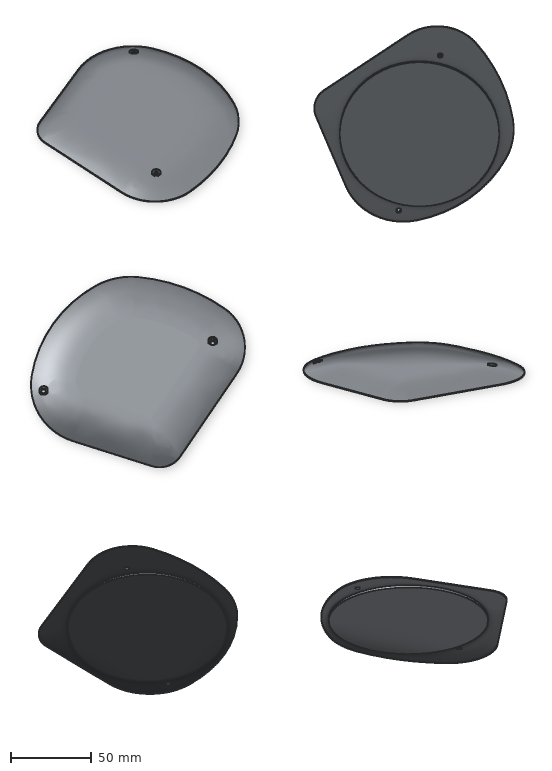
import cadquery as cq
import math


total_height = 8.3
disc_height = 1.7
rim_height = 0.6
dome_base = disc_height + rim_height
dome_height = total_height - dome_base

left_normal = 185.0
left_distance = 55.9
bottom_normal = 260.0
bottom_distance = 58.6
top_center = cq.Vector(-8.4, -26.8)
top_radius = 82.3
right_center = cq.Vector(-49.0, -15.9)
right_radius = 110.4

plateau_inset = 28.0
section_count = 6
top_left_radius = 38.3
top_right_radius = 43.7
bottom_right_rim_radius = 30.9
bottom_right_plateau_radius = 4.3
bottom_left_rim_radius = 15.3
bottom_left_plateau_radius = 0.1

disc_radius = 49.5
hole_x = 35.0
hole_y = 42.1
hole_diameter = 3.0
counterbore_diameter = 5.5
counterbore_floor = 4.0


def direction(angle):
    return cq.Vector(math.cos(math.radians(angle)), math.sin(math.radians(angle)))


def meet_lines(normal_a, distance_a, normal_b, distance_b):
    """Point where two lines, given by unit normal and distance, cross."""
    cross = normal_a.x * normal_b.y - normal_a.y * normal_b.x
    x = (distance_a * normal_b.y - distance_b * normal_a.y) / cross
    y = (distance_b * normal_a.x - distance_a * normal_b.x) / cross
    return cq.Vector(x, y)


def meet_line_circle(normal, distance, center, radius):
    """Crossing of a line and a circle, counterclockwise of the foot of the normal."""
    gap = distance - normal.dot(center)
    along = cq.Vector(-normal.y, normal.x)
    return center + normal * gap + along * math.sqrt(radius**2 - gap**2)


def meet_circles(center_a, radius_a, center_b, radius_b):
    """Crossing of two circles to the right of the way from center a to center b."""
    span = center_b - center_a
    gap = (radius_a**2 - radius_b**2 + span.Length**2) / (2 * span.Length)
    along = span.normalized()
    return meet_line_circle(along * -1, -along.dot(center_a) - gap, center_a, radius_a)


def arc_edge(center, radius, start_angle, end_angle):
    middle_angle = (start_angle + end_angle) / 2
    points = [center + direction(a) * radius for a in (start_angle, middle_angle, end_angle)]
    return cq.Edge.makeThreePointArc(*points)


def angle_of(vector):
    return math.degrees(math.atan2(vector.y, vector.x))


def outline(inset, height):
    """Closed outline, moved inwards by the inset and lifted to the height."""
    share = inset / plateau_inset
    top_left = top_left_radius - inset
    top_right = top_right_radius - inset
    bottom_right = bottom_right_rim_radius + share * (bottom_right_plateau_radius - bottom_right_rim_radius)
    bottom_left = bottom_left_rim_radius + share * (bottom_left_plateau_radius - bottom_left_rim_radius)

    left = direction(left_normal)
    bottom = direction(bottom_normal)
    left_line = left_distance - inset
    bottom_line = bottom_distance - inset
    top_arc = top_radius - inset
    right_arc = right_radius - inset

    top_left_center = meet_line_circle(left * -1, top_left - left_line, top_center, top_arc - top_left)
    top_right_center = meet_circles(top_center, top_arc - top_right, right_center, right_arc - top_right)
    bottom_right_center = meet_line_circle(
        bottom, bottom_line - bottom_right, right_center, right_arc - bottom_right
    )
    bottom_left_center = meet_lines(left, left_line - bottom_left, bottom, bottom_line - bottom_left)

    top_start = angle_of(top_right_center - top_center)
    top_end = angle_of(top_left_center - top_center)
    right_start = angle_of(bottom_right_center - right_center)
    right_end = angle_of(top_right_center - right_center)

    edges = [
        arc_edge(right_center, right_arc, right_start, right_end),
        arc_edge(top_right_center, top_right, right_end, top_start),
        arc_edge(top_center, top_arc, top_start, top_end),
        arc_edge(top_left_center, top_left, top_end, left_normal),
        cq.Edge.makeLine(top_left_center + left * top_left, bottom_left_center + left * bottom_left),
        arc_edge(bottom_left_center, bottom_left, left_normal, bottom_normal),
        cq.Edge.makeLine(
            bottom_left_center + bottom * bottom_left, bottom_right_center + bottom * bottom_right
        ),
        arc_edge(bottom_right_center, bottom_right, bottom_normal - 360, right_start),
    ]
    return cq.Wire.assembleEdges(edges).translate(cq.Vector(0, 0, height))


def make_rim():
    wire = outline(0, disc_height)
    return cq.Workplane(cq.Solid.extrudeLinear(wire, [], cq.Vector(0, 0, rim_height)))


def make_dome():
    """Loft along an arc that ends level with the plateau."""
    profile_radius = (plateau_inset**2 + dome_height**2) / (2 * dome_height)
    sections = []
    for i in range(section_count):
        inset = plateau_inset * i / (section_count - 1)
        from_plateau = plateau_inset - inset
        drop = profile_radius - math.sqrt(profile_radius**2 - from_plateau**2)
        sections.append(outline(inset, total_height - drop))
    return cq.Workplane(cq.Solid.makeLoft(sections))


def make_disc():
    return cq.Workplane().circle(disc_radius).extrude(dome_base)


def make_screw_holes():
    centers = [(-hole_x, hole_y), (hole_x, -hole_y)]
    holes = cq.Workplane().pushPoints(centers).circle(hole_diameter / 2).extrude(total_height)
    counterbores = (
        cq.Workplane(origin=(0, 0, counterbore_floor))
        .pushPoints(centers)
        .circle(counterbore_diameter / 2)
        .extrude(total_height - counterbore_floor)
    )
    return holes.union(counterbores)


result = make_rim().union(make_dome()).union(make_disc()).cut(make_screw_holes())